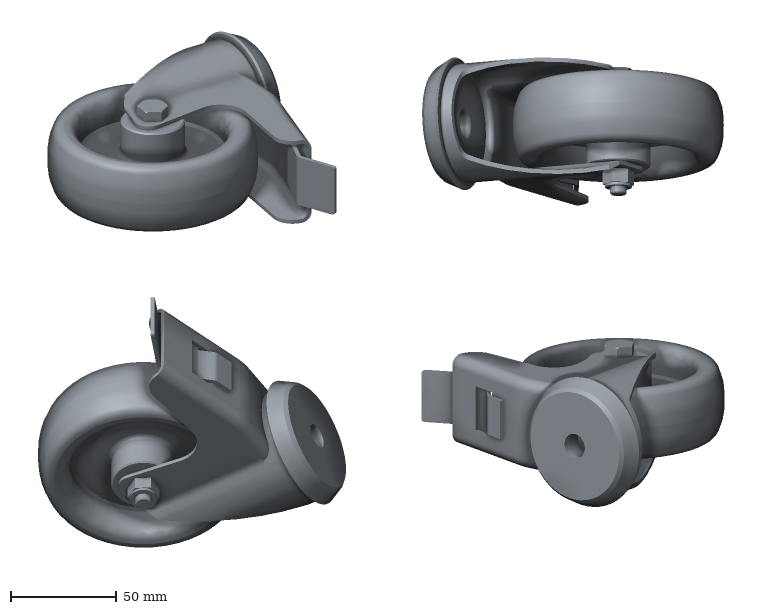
import cadquery as cq
import math


SHEET = 2.0

AXLE_X = 32.0
WHEEL_R = 50.0
TREAD_HALF = 17.4
TYRE_LIP_R = 42.5
SHOULDER = (48.0, 12.9)
RIM_R = 35.0
DISC_R = 33.3
CONE_R = 24.9
DISC_HALF = 2.0
CONE_RISE = 0.8
RIM_STEP = 1.1
HUB_R = 15.3
HUB_CHAMFER = 0.7
HUB_FILLET = 2.3

CUP_R = 28.3
CUP_TOP = 67.3
CUP_BEND_R = 1.7
PLATE_HALF = 22.0
WEB_TOP = 63.5
WEB_BREAK_X = 43.3
WEB_SLOPE = math.radians(15.7)
WEB_BREAK_R = 25.5
WEB_BEND_R = 5.2
WALL_FOOT_R = 2.0
CREASE_R = 5.7
PLATE_INNER = PLATE_HALF - SHEET
CHANNEL_LENGTH = 106.2
CHANNEL_BOTTOM = -21.2
ARM_END_X = 93.9

HEAD_TOP = 76.9
HEAD_R = 31.6
HEAD_TOP_R = 28.0
HEAD_FLANK_TOP = 75.2
HEAD_FLANK_BOTTOM = 68.1
HEAD_CROWN_R = 26.3
HEAD_BOTTOM_R = 30.7
MOUNT_HOLE_D = 12.0
MOUNT_MOUTH_R = 2.0

BOLT_D = 8.0
HEX_FLATS = 13.0
HEAD_HEIGHT = 5.2
NUT_HEIGHT = 6.7
NUT_COLLAR_R = 6.4
NUT_COLLAR_HEIGHT = 1.3
BOLT_END_Z = -33.3
BOLT_CHAMFER = 0.5
HEX_CHAMFER = 0.5

LEVER_HALF = 12.6
TONGUE_HALF = 9.5
PEDAL_TIP = (109.6, 52.4)
PEDAL_BEND = (90.6, 44.2)
BLADE_END = (69.8, 52.8)
TONGUE_BEND = (64.0, 59.3)
TONGUE_TIP = (54.7, 62.0)
BEND_R = 2.5
PEDAL_CORNER_R = 1.4
SLOT_FRONT_X = 64.0
SLOT_REAR_X = 76.5
SLOT_HALF = 10.9

PICK_GAP = 0.1


def z_prism(points, half_width):
    """Prism along Z, symmetric about Z = 0, over an outline in XY."""
    return cq.Workplane("XY").polyline(points).close().extrude(half_width, both=True)


def round_corner(body, corner, radius):
    """Fillet the Z edge that passes through the XY point `corner`."""
    return body.edges(cq.selectors.NearestToPointSelector((*corner, 0))).fillet(radius)


def y_cylinder(radius, bottom, top):
    """Cylinder on the swivel axis."""
    return cq.Workplane("XZ", origin=(0, bottom, 0)).circle(radius).extrude(bottom - top)


def axle_cylinder(radius, bottom, top):
    """Cylinder on the wheel axle."""
    return cq.Workplane("XY", origin=(AXLE_X, 0, bottom)).circle(radius).extrude(top - bottom)


def make_wheel():
    """Wheel with rounded tyre, thin disc and through hub."""
    hub_half = PLATE_INNER
    cone_r = HUB_R + HUB_FILLET
    cone_z = DISC_HALF + CONE_RISE
    half = (
        cq.Workplane("XZ")
        .moveTo(0, 0)
        .lineTo(WHEEL_R, 0)
        .spline([SHOULDER, (TYRE_LIP_R, TREAD_HALF)], tangents=[(0, 1), (-1, 0)], includeCurrent=True)
        .spline([(RIM_R, DISC_HALF + RIM_STEP)], tangents=[(-1, 0), (0, -1)], includeCurrent=True)
        .lineTo(DISC_R, DISC_HALF)
        .lineTo(CONE_R, DISC_HALF)
        .lineTo(cone_r, cone_z)
        .radiusArc((HUB_R, cone_z + HUB_FILLET), HUB_FILLET)
        .lineTo(HUB_R, hub_half - HUB_CHAMFER)
        .lineTo(HUB_R - HUB_CHAMFER, hub_half)
        .lineTo(0, hub_half)
        .close()
        .revolve(360, (0, 0, 0), (0, 1, 0))
    )
    wheel = half.union(half.mirror("XY")).translate((AXLE_X, 0, 0))
    return wheel.cut(axle_cylinder(BOLT_D / 2, -hub_half, hub_half))


def web_height(x):
    """Height of the web's upper face on its sloping part."""
    return WEB_TOP - (x - WEB_BREAK_X) * math.tan(WEB_SLOPE)


def channel(inset, crown_radius):
    """Solid under the web, bounded by web and plates, shrunk by `inset` on those faces."""
    drop = inset / math.cos(WEB_SLOPE)
    break_x = WEB_BREAK_X - inset * math.tan(WEB_SLOPE / 2)
    top = WEB_TOP - inset
    body = z_prism(
        [
            (0, CHANNEL_BOTTOM),
            (0, top),
            (break_x, top),
            (CHANNEL_LENGTH, web_height(CHANNEL_LENGTH) - drop),
            (CHANNEL_LENGTH, CHANNEL_BOTTOM),
        ],
        PLATE_HALF - inset,
    )
    body = round_corner(body, (break_x, top), WEB_BREAK_R - inset)
    crown = cq.selectors.BoxSelector(
        (PICK_GAP, web_height(CHANNEL_LENGTH), -CUP_R),
        (CHANNEL_LENGTH - PICK_GAP, CUP_TOP, CUP_R),
    )
    return body.faces("<Z or >Z").edges(crown).fillet(crown_radius)


def crease_fill(radius, plate_half, bend, top):
    """Cup and plates below the web, joined by hollow bends; `bend` is their radius."""
    centre_x = math.sqrt((radius + bend) ** 2 - (plate_half + bend) ** 2)
    share = radius / (radius + bend)
    start = (centre_x * share, (plate_half + bend) * share)
    middle_angle = math.atan2(plate_half + bend - start[1], centre_x - start[0]) / 2 + math.pi / 4
    middle = (
        centre_x - bend * math.cos(middle_angle),
        plate_half + bend - bend * math.sin(middle_angle),
    )
    return (
        cq.Workplane("XZ", origin=(0, CHANNEL_BOTTOM, 0))
        .moveTo(centre_x, plate_half)
        .threePointArc(middle, start)
        .threePointArc((-radius, 0), (start[0], -start[1]))
        .threePointArc((middle[0], -middle[1]), (centre_x, -plate_half))
        .close()
        .extrude(CHANNEL_BOTTOM - top)
    )


def fork_trim():
    """Prism that trims the bent sheet, with its rounded corners."""
    arm_end_y = web_height(ARM_END_X)
    run_out = CUP_TOP - arm_end_y
    front_knee = (-18.5, 59.0)
    lower_knee = (12.3, -3.0)
    foot = (42.9, -13.5)
    throat = (36.0, 41.0)
    arm_tip = (90.0, 35.0)
    front_x = -CUP_R - 1.4
    outline = [
        (front_x, CUP_TOP),
        (front_x, 61.5),
        front_knee,
        lower_knee,
        (17.0, -6.4),
        foot,
        throat,
        arm_tip,
        (ARM_END_X, arm_end_y),
        (ARM_END_X + run_out * math.tan(WEB_SLOPE), CUP_TOP),
    ]
    trim = z_prism(outline, CUP_R + 1.4)
    for corner, radius in [(front_knee, 5.0), (foot, 6.8), (throat, 13.0), (arm_tip, 9.9)]:
        trim = round_corner(trim, corner, radius)
    return trim


def make_head():
    """Conical swivel head on top of the cup."""
    return (
        cq.Workplane("XY")
        .polyline([
            (0, CUP_TOP),
            (HEAD_BOTTOM_R, CUP_TOP),
            (HEAD_R, HEAD_FLANK_BOTTOM),
            (HEAD_TOP_R, HEAD_FLANK_TOP),
            (HEAD_CROWN_R, HEAD_TOP),
            (0, HEAD_TOP),
        ])
        .close()
        .revolve(360, (0, 0, 0), (0, 1, 0))
    )


def make_fork():
    """Bent sheet fork: cup, web and two plates, with the swivel head on top."""
    bend_top = WEB_TOP - WEB_BEND_R
    outer = y_cylinder(CUP_R, CHANNEL_BOTTOM, CUP_TOP).faces(">Y").edges().fillet(CUP_BEND_R)
    outer = outer.union(crease_fill(CUP_R, PLATE_HALF, CREASE_R, bend_top))
    outer = outer.union(channel(0, WEB_BEND_R))
    inner = y_cylinder(CUP_R - SHEET, CHANNEL_BOTTOM, CUP_TOP - SHEET)
    inner = inner.union(crease_fill(CUP_R - SHEET, PLATE_INNER, CREASE_R + SHEET, bend_top))
    inner = inner.union(channel(SHEET, WEB_BEND_R - SHEET))
    fork = outer.cut(inner).intersect(fork_trim()).union(make_head())

    web_underside = WEB_TOP - SHEET
    wall_foot = cq.selectors.BoxSelector(
        (PLATE_INNER, web_underside - PICK_GAP, -PLATE_INNER),
        (CUP_R, web_underside + PICK_GAP, PLATE_INNER),
    )
    fork = fork.edges("%CIRCLE").edges(wall_foot).fillet(WALL_FOOT_R)

    hole_r = MOUNT_HOLE_D / 2
    cup_ceiling = CUP_TOP - SHEET
    fork = fork.cut(y_cylinder(hole_r, cup_ceiling, HEAD_TOP))
    mouth = cq.selectors.BoxSelector(
        (-hole_r, cup_ceiling - PICK_GAP, -hole_r),
        (hole_r, cup_ceiling + PICK_GAP, hole_r),
    )
    fork = fork.edges("%CIRCLE").edges(mouth).edges(cq.selectors.RadiusNthSelector(0)).fillet(MOUNT_MOUTH_R)

    fork = fork.cut(axle_cylinder(BOLT_D / 2, -PLATE_HALF, PLATE_HALF))

    slot_bottom = web_height(SLOT_REAR_X) - 2 * SHEET
    slot = z_prism(
        [
            (SLOT_FRONT_X, slot_bottom),
            (SLOT_REAR_X, slot_bottom),
            (SLOT_REAR_X, WEB_TOP),
            (SLOT_FRONT_X, WEB_TOP),
        ],
        SLOT_HALF,
    )
    return fork.cut(slot)


def hexagon(bottom, top):
    """Hexagon on the axle with its corners on the X direction."""
    corner_diameter = HEX_FLATS / math.cos(math.pi / 6)
    return (
        cq.Workplane("XY", origin=(AXLE_X, 0, bottom))
        .polygon(6, corner_diameter)
        .extrude(top - bottom)
    )


def make_bolt():
    """Hexagon bolt along the axle, with its nut at the lower end."""
    head_top = PLATE_HALF + HEAD_HEIGHT
    nut_bottom = -PLATE_HALF - NUT_HEIGHT
    corner_r = HEX_FLATS / 2 / math.cos(math.pi / 6)
    crown = axle_cylinder(corner_r, PLATE_HALF, head_top).faces(">Z").chamfer(HEX_CHAMFER)
    bolt = axle_cylinder(BOLT_D / 2, BOLT_END_Z, PLATE_HALF).faces("<Z").chamfer(BOLT_CHAMFER)
    bolt = bolt.union(hexagon(PLATE_HALF, head_top).intersect(crown))
    bolt = bolt.union(hexagon(nut_bottom, -PLATE_HALF))
    return bolt.union(axle_cylinder(NUT_COLLAR_R, nut_bottom - NUT_COLLAR_HEIGHT, nut_bottom))


def bent_strip(points, half_width):
    """Sheet strip whose mid-plane follows the XY points."""
    start = cq.Vector(*points[0])
    direction = cq.Vector(*points[1]) - start
    plane = cq.Plane(origin=start, xDir=(0, 0, 1), normal=direction)
    path = cq.Wire.makePolygon([cq.Vector(*point) for point in points]).fillet(BEND_R)
    return cq.Workplane(plane).rect(2 * half_width, SHEET).sweep(path)


def make_lever():
    """Pedal and blade below the web, with a tongue that hooks over it."""
    blade = bent_strip([PEDAL_TIP, PEDAL_BEND, BLADE_END], LEVER_HALF)
    blade = blade.faces(">X").edges("#Z").fillet(PEDAL_CORNER_R)
    blade_middle = ((PEDAL_BEND[0] + BLADE_END[0]) / 2, (PEDAL_BEND[1] + BLADE_END[1]) / 2)
    tongue = bent_strip([blade_middle, BLADE_END, TONGUE_BEND, TONGUE_TIP], TONGUE_HALF)
    return blade.union(tongue)


wheel = make_wheel()
fork = make_fork()
bolt = make_bolt()
lever = make_lever()

result = cq.Compound.makeCompound([body.solids().val() for body in (fork, wheel, bolt, lever)])